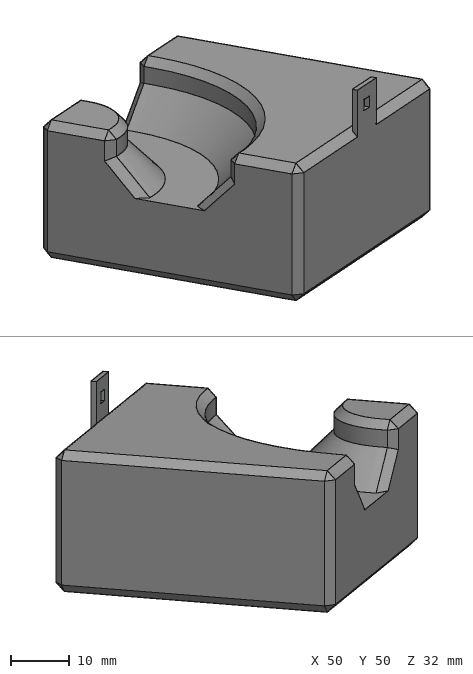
import cadquery as cq
import math

SIDE = 50
HEIGHT = 25
CHAMFER = 1.5

CHANNEL_DEPTH = 11
LEAD_IN = 3
CHANNEL_CENTER = SIDE / 2
OCTAGON_HALF_SIDE = CHANNEL_DEPTH * math.tan(math.pi / 8)
FLOOR_Z = HEIGHT - CHANNEL_DEPTH

TAB_THICKNESS = 1
TAB_WIDTH = 7
TAB_RISE = 7
TAB_HOLE = 2

TOLERANCE = 0.0005


def channel():
    """Solid that is removed from the block to leave the curved channel."""
    profile = [
        (CHANNEL_CENTER - CHANNEL_DEPTH, HEIGHT),
        (CHANNEL_CENTER - CHANNEL_DEPTH, HEIGHT - OCTAGON_HALF_SIDE),
        (CHANNEL_CENTER - OCTAGON_HALF_SIDE, FLOOR_Z),
        (CHANNEL_CENTER + OCTAGON_HALF_SIDE, FLOOR_Z),
        (CHANNEL_CENTER + CHANNEL_DEPTH, HEIGHT - OCTAGON_HALF_SIDE),
        (CHANNEL_CENTER + CHANNEL_DEPTH, HEIGHT),
    ]
    to_front = cq.Workplane("XZ").polyline(profile).close().extrude(-LEAD_IN)
    to_left = cq.Workplane("YZ").polyline(profile).close().extrude(LEAD_IN)
    bend = (
        cq.Workplane("XZ", origin=(0, LEAD_IN, 0))
        .polyline(profile)
        .close()
        .revolve(90, (LEAD_IN, 0), (LEAD_IN, 1))
    )
    return bend.union(to_front).union(to_left)


def is_outer_edge(edge):
    """True for edges lying in an outer face of the block, but not where the channel floor ends."""
    box = edge.BoundingBox()
    on_limit = any(
        high - low < TOLERANCE and min(abs(low), abs(low - limit)) < TOLERANCE
        for low, high, limit in (
            (box.xmin, box.xmax, SIDE),
            (box.ymin, box.ymax, SIDE),
            (box.zmin, box.zmax, HEIGHT),
        )
    )
    return on_limit and abs(box.zmax - FLOOR_Z) > TOLERANCE


def block():
    """Block with the channel, chamfered on its outer edges and around the channel."""
    body = cq.Workplane("XY").box(SIDE, SIDE, HEIGHT, centered=False).cut(channel())
    outer_edges = [edge for edge in body.edges().vals() if is_outer_edge(edge)]
    return body.newObject(outer_edges).chamfer(CHAMFER)


def tab():
    """Tab flush with the +X face, rooted at the foot of the top chamfer."""
    plate = cq.Workplane("XY").box(
        TAB_THICKNESS, TAB_WIDTH, TAB_RISE + CHAMFER, centered=(False, True, False)
    ).translate((SIDE - TAB_THICKNESS, SIDE / 2, HEIGHT - CHAMFER))
    hole = cq.Workplane("XY").box(TAB_THICKNESS, TAB_HOLE, TAB_HOLE).translate(
        (SIDE - TAB_THICKNESS / 2, SIDE / 2, HEIGHT + TAB_RISE / 2)
    )
    return plate.cut(hole)


result = block().union(tab())